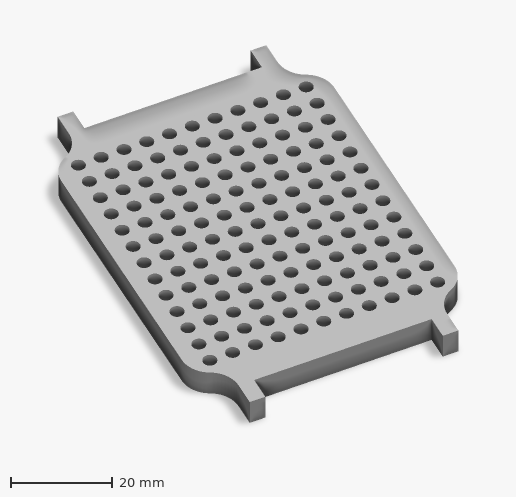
import cadquery as cq

overall_length = 87.8
plate_width = 60.0
thickness = 5.9
body_length = 77.5
straight_edge_length = 55.0
tab_outer_span = 45.8
tab_width = 3.4

hole_diameter = 3.0
hole_pitch = 5.0
hole_columns = 13
hole_rows = 11

half_length = overall_length / 2
half_width = plate_width / 2
half_body = body_length / 2
half_straight = straight_edge_length / 2
tab_outer_y = tab_outer_span / 2
tab_inner_y = tab_outer_y - tab_width

arc_run = (half_body - half_straight) / 2
arc_rise = (half_width - tab_outer_y) / 2
arc_radius = (arc_run**2 + arc_rise**2) / (2 * arc_rise)
s_curve_middle = (half_straight + arc_run, half_width - arc_rise)


def make_quarter_plate():
    """Quarter of the plate in +X +Y, with one S-curve corner and one tab."""
    return (
        cq.Workplane("XY")
        .lineTo(0, half_width)
        .lineTo(half_straight, half_width)
        .radiusArc(s_curve_middle, arc_radius)
        .radiusArc((half_body, tab_outer_y), -arc_radius)
        .lineTo(half_length, tab_outer_y)
        .lineTo(half_length, tab_inner_y)
        .lineTo(half_body, tab_inner_y)
        .lineTo(half_body, 0)
        .close()
        .extrude(thickness)
    )


def make_plate():
    """Full plate, mirrored from the quarter about both centre planes."""
    quarter = make_quarter_plate()
    half = quarter.union(quarter.mirror("YZ"))
    return half.union(half.mirror("XZ")).clean()


def make_hole_pins():
    """Cylinders that cut the grid of through holes."""
    return (
        cq.Workplane("XY")
        .rarray(hole_pitch, hole_pitch, hole_columns, hole_rows)
        .circle(hole_diameter / 2)
        .extrude(thickness)
    )


result = make_plate().cut(make_hole_pins())